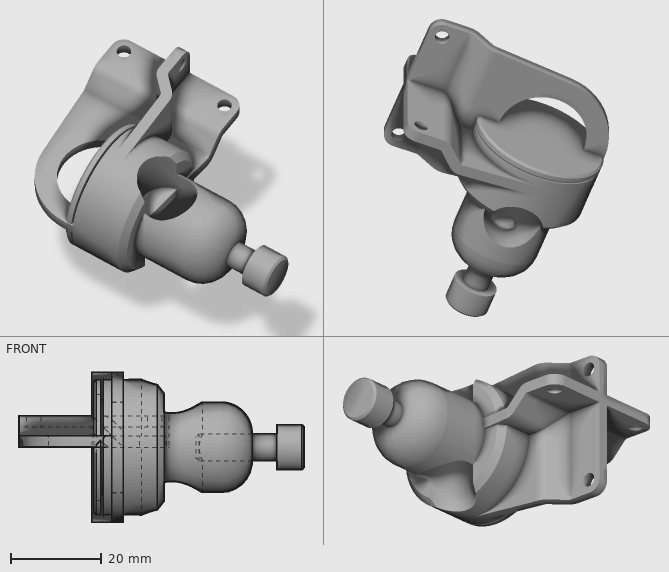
import cadquery as cq
import math


sheet_thickness = 2.5
bracket_length = 46.8
bracket_width = 33.2
bracket_round_radius = 30.0 / 2
bracket_hole_diameter = 20.1
bend_start_y = 17.05
tab_rise = 4.5
bend_angle = math.radians(45)
bend_inner_radius = 1.0
bend_outer_radius = bend_inner_radius + sheet_thickness
tab_corner_radius = 3.0
mount_hole_diameter = 3.2
mount_hole_inset = 3.2
tab_end_y = bracket_length - bracket_round_radius

body_radius = 30.0 / 2
neck_radius = 20.0 / 2
groove_radius = 21.0 / 2
cap_chamfer = 0.5
groove_start_x = 1.5
groove_end_x = 2.0
bracket_slot_start_x = 4.0
bracket_slot_end_x = bracket_slot_start_x + sheet_thickness
body_end_x = 15.5
body_chamfer = 1.5
housing_end_x = 35.0
dome_radius = 7.0

cross_slot_width = 13.0
cross_slot_start_x = 10.5
cross_slot_end_x = 24.0
cross_slot_length = cross_slot_end_x - cross_slot_start_x
cross_slot_center_x = (cross_slot_start_x + cross_slot_end_x) / 2

screw_radius = neck_radius - dome_radius
screw_head_radius = 10.0 / 2
screw_tip_x = 22.5
screw_tip_chamfer = 0.7
screw_head_start_x = 40.45
screw_head_chamfer = 0.5
screw_end_x = 63.1 - bracket_width / 2


def bracket_sheet():
    """Side profile of the bent sheet in the YZ plane, extruded over the bracket width."""
    sine = math.sin(bend_angle)
    cosine = math.cos(bend_angle)
    half_sine = math.sin(bend_angle / 2)
    half_cosine = math.cos(bend_angle / 2)

    arcs_rise = (bend_inner_radius + bend_outer_radius) * (1 - cosine)
    slope_run = (tab_rise - arcs_rise) / math.tan(bend_angle)
    bend_end_y = bend_start_y + (bend_inner_radius + bend_outer_radius) * sine + slope_run

    lower_center_z = bend_outer_radius
    upper_center_z = tab_rise - bend_inner_radius

    def lower_bend(radius, side, along):
        return (bend_start_y + radius * side, lower_center_z - radius * along)

    def upper_bend(radius, side, along):
        return (bend_end_y - radius * side, upper_center_z + radius * along)

    return (
        cq.Workplane("YZ", origin=(-bracket_width / 2, 0, 0))
        .moveTo(-bracket_round_radius, 0)
        .lineTo(bend_start_y, 0)
        .threePointArc(
            lower_bend(bend_outer_radius, half_sine, half_cosine),
            lower_bend(bend_outer_radius, sine, cosine),
        )
        .lineTo(*upper_bend(bend_inner_radius, sine, cosine))
        .threePointArc(
            upper_bend(bend_inner_radius, half_sine, half_cosine),
            upper_bend(bend_inner_radius, 0, 1),
        )
        .lineTo(tab_end_y, tab_rise)
        .lineTo(tab_end_y, tab_rise + sheet_thickness)
        .lineTo(bend_end_y, tab_rise + sheet_thickness)
        .threePointArc(
            upper_bend(bend_outer_radius, half_sine, half_cosine),
            upper_bend(bend_outer_radius, sine, cosine),
        )
        .lineTo(*lower_bend(bend_inner_radius, sine, cosine))
        .threePointArc(
            lower_bend(bend_inner_radius, half_sine, half_cosine),
            lower_bend(bend_inner_radius, 0, 1),
        )
        .lineTo(-bracket_round_radius, sheet_thickness)
        .close()
        .extrude(bracket_width)
    )


def bracket_outline():
    """Plan outline: rectangular tab tapering tangentially into the round end."""
    half_width = bracket_width / 2
    corner_distance = math.hypot(half_width, bend_start_y)
    tangent_angle = math.atan2(bend_start_y, half_width) - math.acos(bracket_round_radius / corner_distance)
    tangent_x = bracket_round_radius * math.cos(tangent_angle)
    tangent_y = bracket_round_radius * math.sin(tangent_angle)
    return (
        cq.Workplane("XY")
        .moveTo(-half_width, tab_end_y)
        .lineTo(-half_width, bend_start_y)
        .lineTo(-tangent_x, tangent_y)
        .threePointArc((0, -bracket_round_radius), (tangent_x, tangent_y))
        .lineTo(half_width, bend_start_y)
        .lineTo(half_width, tab_end_y)
        .close()
        .extrude(tab_rise + sheet_thickness)
        .edges("|Z and >Y")
        .fillet(tab_corner_radius)
    )


def make_bracket():
    """Flat-lying bracket with its large hole centred on the origin."""
    hole_x = bracket_width / 2 - mount_hole_inset
    hole_y = tab_end_y - mount_hole_inset
    hole_depth = tab_rise + sheet_thickness
    pivot_hole = cq.Workplane("XY").circle(bracket_hole_diameter / 2).extrude(hole_depth)
    mount_holes = (
        cq.Workplane("XY")
        .pushPoints([(-hole_x, hole_y), (hole_x, hole_y)])
        .circle(mount_hole_diameter / 2)
        .extrude(hole_depth)
    )
    return bracket_sheet().intersect(bracket_outline()).cut(pivot_hole).cut(mount_holes)


def make_housing():
    """Turned housing with a cap groove, a bracket slot, a cross slot and a screw bore."""
    dome_start_x = housing_end_x - dome_radius
    dome_mid_x = dome_start_x + dome_radius * math.sin(math.pi / 4)
    dome_mid_radius = screw_radius + dome_radius * math.cos(math.pi / 4)
    turned = (
        cq.Workplane("XZ")
        .moveTo(0, 0)
        .lineTo(0, body_radius - cap_chamfer)
        .lineTo(cap_chamfer, body_radius)
        .lineTo(groove_start_x, body_radius)
        .lineTo(groove_start_x, groove_radius)
        .lineTo(groove_end_x, groove_radius)
        .lineTo(groove_end_x, body_radius)
        .lineTo(bracket_slot_start_x, body_radius)
        .lineTo(bracket_slot_start_x, neck_radius)
        .lineTo(bracket_slot_end_x, neck_radius)
        .lineTo(bracket_slot_end_x, body_radius)
        .lineTo(body_end_x - body_chamfer, body_radius)
        .lineTo(body_end_x, body_radius - body_chamfer)
        .lineTo(body_end_x, neck_radius)
        .lineTo(dome_start_x, neck_radius)
        .threePointArc((dome_mid_x, dome_mid_radius), (housing_end_x, screw_radius))
        .lineTo(housing_end_x, 0)
        .close()
        .revolve(360, (0, 0, 0), (1, 0, 0))
    )
    cross_slot = (
        cq.Workplane("XY")
        .center(cross_slot_center_x, 0)
        .slot2D(cross_slot_length, cross_slot_width)
        .extrude(body_radius, both=True)
    )
    screw_bore = (
        cq.Workplane("YZ", origin=(cross_slot_center_x, 0, 0))
        .circle(screw_radius)
        .extrude(housing_end_x - cross_slot_center_x)
    )
    return turned.cut(cross_slot).cut(screw_bore)


def make_screw():
    """Clamping screw: plain shank with a chamfered tip and a cylindrical head."""
    return (
        cq.Workplane("XZ")
        .moveTo(screw_tip_x, 0)
        .lineTo(screw_tip_x, screw_radius - screw_tip_chamfer)
        .lineTo(screw_tip_x + screw_tip_chamfer, screw_radius)
        .lineTo(screw_head_start_x, screw_radius)
        .lineTo(screw_head_start_x, screw_head_radius)
        .lineTo(screw_end_x - screw_head_chamfer, screw_head_radius)
        .lineTo(screw_end_x, screw_head_radius - screw_head_chamfer)
        .lineTo(screw_end_x, 0)
        .close()
        .revolve(360, (0, 0, 0), (1, 0, 0))
    )


def half_space(side):
    """Block that covers both brackets on the +Y (side = 1) or -Y (side = -1) side of the axis."""
    size = 2 * bracket_length
    return cq.Workplane("XY").box(size, size, size).translate((0, side * size / 2, 0))


flat_bracket = make_bracket()
upright_bracket = (
    make_bracket()
    .rotate((0, 0, 0), (0, 1, 0), -90)
    .translate((bracket_slot_end_x, 0, 0))
)

flat_bracket_notch = upright_bracket.intersect(half_space(1))
upright_bracket_notch = flat_bracket.intersect(half_space(-1))
housing = make_housing().cut(flat_bracket)
flat_bracket = flat_bracket.cut(flat_bracket_notch)
upright_bracket = upright_bracket.cut(upright_bracket_notch)
screw = make_screw()

result = cq.Compound.makeCompound([
    flat_bracket.val(),
    upright_bracket.val(),
    housing.val(),
    screw.val(),
])